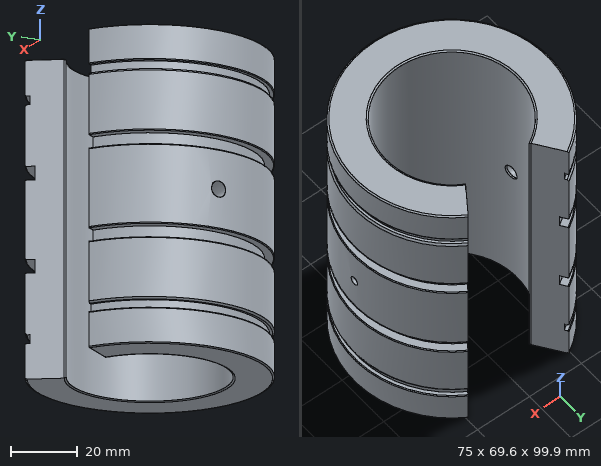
import cadquery as cq
import math

length = 99.9
half_length = length / 2
outer_radius = 37.5
end_chamfer_radial = 0.6
end_chamfer_axial = 0.3

bore_radius = 25.1
liner_thickness = 0.6
liner_radius = bore_radius + liner_thickness
liner_bevel_axial = 0.3

ring_groove_depth = 1.5
ring_groove_top = 38.7
ring_groove_bottom = 36.1
ring_groove_inner_chamfer = 0.6
wide_groove_depth = 3.0
wide_groove_top = 16.7
wide_groove_bottom = 12.5
groove_chamfer = 0.3

opening_half_angle = 35.0
opening_apex_y = 4.4

side_hole_diameter = 5.0
side_hole_y = -side_hole_diameter / 2
small_hole_diameter = 3.0

clearance = 10.0
reach = outer_radius + clearance


def revolve_profile(points):
    """Revolve a closed (radius, z) outline about the Z axis."""
    return cq.Workplane("XZ").polyline(points).close().revolve(360, (0, 0, 0), (0, 1, 0))


def groove(depth, top, bottom, top_chamfer, bottom_chamfer, side):
    """Groove cutter with a 45 degree chamfer at each rim; side is +1 (upper) or -1 (lower)."""
    floor = outer_radius - depth
    profile = [
        (floor, bottom),
        (floor, top),
        (outer_radius - top_chamfer, top),
        (outer_radius, top + top_chamfer),
        (reach, top + top_chamfer),
        (reach, bottom - bottom_chamfer),
        (outer_radius, bottom - bottom_chamfer),
        (outer_radius - bottom_chamfer, bottom),
    ]
    return revolve_profile([(radius, side * z) for radius, z in profile])


def opening():
    """Wedge that opens the tube toward +Y."""
    half_width = reach * math.tan(math.radians(opening_half_angle))
    far_y = opening_apex_y + reach
    return (
        cq.Workplane("XY")
        .polyline([(0, opening_apex_y), (half_width, far_y), (-half_width, far_y)])
        .close()
        .extrude(half_length + clearance, both=True)
    )


def cross_hole(diameter, y, direction):
    """Hole cutter from the YZ plane outward; direction is +1 (+X) or -1 (-X)."""
    return cq.Workplane("YZ").center(y, 0).circle(diameter / 2).extrude(direction * reach)


def cut_openings(body):
    """Cut the features that pass through both the sleeve and the liner."""
    body = body.cut(opening())
    body = body.cut(cross_hole(side_hole_diameter, side_hole_y, -1))
    return body.cut(cross_hole(small_hole_diameter, 0, 1))


def make_sleeve():
    shoulder_z = half_length - end_chamfer_axial
    face_radius = outer_radius - end_chamfer_radial
    sleeve = revolve_profile([
        (liner_radius, -half_length),
        (face_radius, -half_length),
        (outer_radius, -shoulder_z),
        (outer_radius, shoulder_z),
        (face_radius, half_length),
        (liner_radius, half_length),
    ])
    for side in (1, -1):
        sleeve = sleeve.cut(groove(
            ring_groove_depth, ring_groove_top, ring_groove_bottom,
            groove_chamfer, ring_groove_inner_chamfer, side,
        ))
        sleeve = sleeve.cut(groove(
            wide_groove_depth, wide_groove_top, wide_groove_bottom,
            groove_chamfer, groove_chamfer, side,
        ))
    return cut_openings(sleeve)


def make_liner():
    bore_end_z = half_length - liner_bevel_axial
    liner = revolve_profile([
        (bore_radius, -bore_end_z),
        (liner_radius, -half_length),
        (liner_radius, half_length),
        (bore_radius, bore_end_z),
    ])
    return cut_openings(liner)


sleeve = make_sleeve()
liner = make_liner()
result = cq.Compound.makeCompound([sleeve.val(), liner.val()])